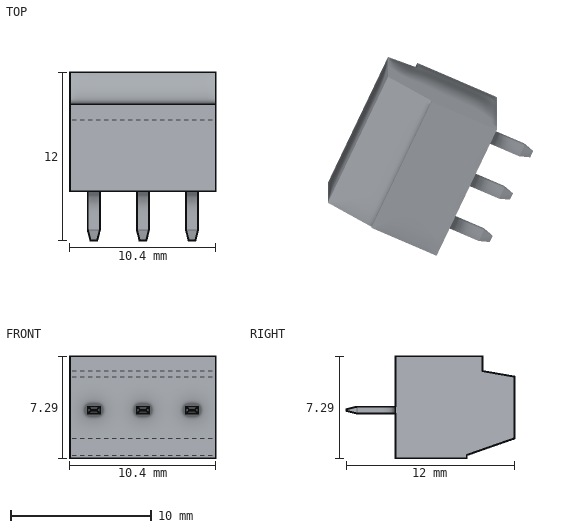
import cadquery as cq

PIN_COUNT = 3
PITCH = 3.5
HOUSING_LENGTH = 10.41
HOUSING_DEPTH = 8.51
HOUSING_HEIGHT = 7.29

TOP_DEPTH = 6.22
TOP_STEP_DROP = 1.05
TOP_BACK_DROP = 1.45

BOTTOM_DEPTH = 5.11
BOTTOM_STEP_RISE = 0.24
BOTTOM_BACK_RISE = 1.43

PIN_LENGTH = 3.5
PIN_WIDTH = 0.88
PIN_THICKNESS = 0.5
PIN_HEIGHT = 3.45
TIP_LENGTH = 0.77
TIP_WIDTH = 0.49
TIP_THICKNESS = 0.13


def make_housing():
    """Side outline in the YZ plane, extruded symmetrically along X."""
    outline = [
        (0, 0),
        (BOTTOM_DEPTH, 0),
        (BOTTOM_DEPTH, BOTTOM_STEP_RISE),
        (HOUSING_DEPTH, BOTTOM_BACK_RISE),
        (HOUSING_DEPTH, HOUSING_HEIGHT - TOP_BACK_DROP),
        (TOP_DEPTH, HOUSING_HEIGHT - TOP_STEP_DROP),
        (TOP_DEPTH, HOUSING_HEIGHT),
        (0, HOUSING_HEIGHT),
    ]
    profile = cq.Workplane("YZ").polyline(outline).close()
    return profile.extrude(HOUSING_LENGTH / 2, both=True)


def make_pin(x):
    """Bar standing out of the Y = 0 face towards -Y, with a four-sided taper at its end."""
    shank_length = PIN_LENGTH - TIP_LENGTH
    base = cq.Workplane("XZ", origin=(x, 0, PIN_HEIGHT))
    shank = base.rect(PIN_WIDTH, PIN_THICKNESS).extrude(shank_length)
    tip = (
        base.workplane(offset=shank_length)
        .rect(PIN_WIDTH, PIN_THICKNESS)
        .workplane(offset=TIP_LENGTH)
        .rect(TIP_WIDTH, TIP_THICKNESS)
        .loft(ruled=True)
    )
    return shank.union(tip)


result = make_housing()
for index in range(PIN_COUNT):
    pin_x = (index - (PIN_COUNT - 1) / 2) * PITCH
    result = result.union(make_pin(pin_x))